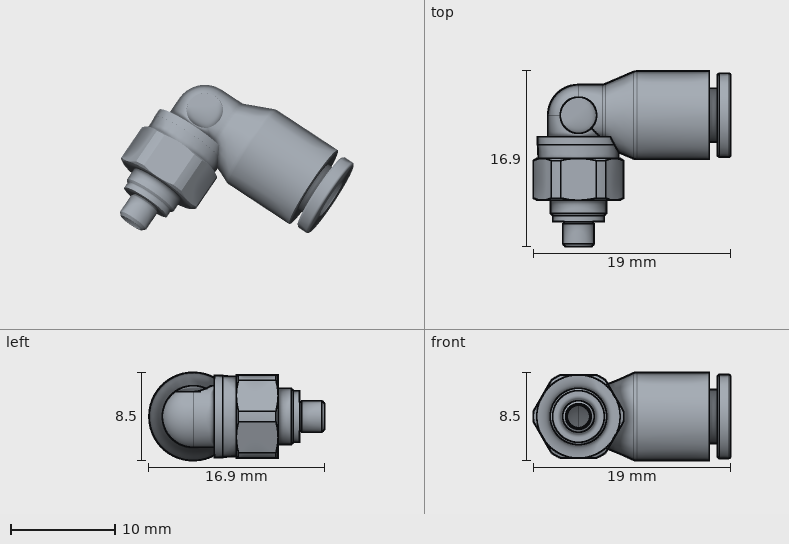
import cadquery as cq
import math


elbow_radius = 2.95
badge_radius = 1.75
badge_height = 2.37

stem_bore_radius = 1.08
tube_bore_radius = 2.0

body_radius = 4.25
cone_start = 2.43
cone_end = 5.43
cone_start_tangent = 0.15
cone_end_tangent = 0.17
body_end = 12.58
release_neck_radius = 2.6
release_ring_radius = 4.05
release_ring_start = 13.32
release_ring_inner_chamfer = 0.19
release_ring_outer_fillet = 0.2

hex_across_flats = 8.0
hex_across_corners = 8.7
hex_chamfer_angle = 30.0

collar_start = 2.05
collar_radius = 3.95
collar_end = 2.85
skirt_top_radius = 3.93
skirt_bottom_radius = 3.87
hex_start = 4.15
hex_end = 8.15
seat_radius = 2.71
seat_chamfer = 0.23
seat_end = 9.64
seal_radius = seat_radius - seat_chamfer
seal_end = 10.22
undercut_radius = 1.4
undercut_end = 10.41
thread_radius = 1.52
thread_chamfer = 0.28
stem_length = 12.65

overall_length = 18.97
branch_length = overall_length - hex_across_corners / 2


def tube_branch():
    """Neck, flared cone with blended ends, and cylindrical body, revolved about X."""
    flare = math.atan2(body_radius - elbow_radius, cone_end - cone_start)
    run = math.cos(flare)
    rise = math.sin(flare)
    profile = (
        cq.Workplane("XY")
        .lineTo(0, elbow_radius)
        .lineTo(cone_start - cone_start_tangent, elbow_radius)
        .tangentArcPoint(
            (cone_start + cone_start_tangent * run, elbow_radius + cone_start_tangent * rise),
            relative=False,
        )
        .lineTo(cone_end - cone_end_tangent * run, body_radius - cone_end_tangent * rise)
        .tangentArcPoint((cone_end + cone_end_tangent, body_radius), relative=False)
        .lineTo(body_end, body_radius)
        .lineTo(body_end, 0)
        .close()
    )
    return profile.revolve(360, (0, 0, 0), (1, 0, 0))


def release_sleeve():
    """Narrow neck and wide push ring at the open end of the tube branch."""
    neck = (
        cq.Workplane("YZ", origin=(body_end, 0, 0))
        .circle(release_neck_radius)
        .extrude(release_ring_start - body_end)
    )
    ring = (
        cq.Workplane("YZ", origin=(release_ring_start, 0, 0))
        .circle(release_ring_radius)
        .extrude(branch_length - release_ring_start)
        .faces("<X").edges().chamfer(release_ring_inner_chamfer)
        .faces(">X").edges().fillet(release_ring_outer_fillet)
    )
    return neck.union(ring)


def stem():
    """Stepped turned stem, from the elbow to the tip of the thread, revolved about Y."""
    outline = [
        (0, 0),
        (elbow_radius, 0),
        (elbow_radius, collar_start),
        (collar_radius, collar_start),
        (collar_radius, collar_end),
        (skirt_top_radius, collar_end),
        (skirt_bottom_radius, hex_start),
        (seat_radius, hex_start),
        (seat_radius, seat_end - seat_chamfer),
        (seal_radius, seat_end),
        (seal_radius, seal_end),
        (undercut_radius, seal_end),
        (undercut_radius, undercut_end),
        (thread_radius, undercut_end),
        (thread_radius, stem_length - thread_chamfer),
        (thread_radius - thread_chamfer, stem_length),
        (0, stem_length),
    ]
    points = [(radius, -station) for radius, station in outline]
    return cq.Workplane("XY").polyline(points).close().revolve(360, (0, 0, 0), (0, 1, 0))


def hexagon():
    """Hexagon with corners on X, trimmed by a turned blank with chamfered ends."""
    height = hex_end - hex_start
    corner_radius = hex_across_corners / 2
    chamfer_width = corner_radius - hex_across_flats / 2
    chamfer_height = chamfer_width * math.tan(math.radians(hex_chamfer_angle))
    base = cq.Workplane("XZ", origin=(0, -hex_start, 0))
    prism = base.polygon(6, hex_across_flats / math.cos(math.pi / 6)).extrude(height)
    blank = (
        base.circle(corner_radius)
        .extrude(height)
        .faces("<Y or >Y").edges().chamfer(chamfer_height, chamfer_width)
    )
    return prism.intersect(blank)


def flow_passage():
    """Narrow bore through the stem, meeting a wider tube bore with a spherical end."""
    stem_bore = cq.Workplane("XZ").circle(stem_bore_radius).extrude(stem_length)
    tube_bore = cq.Workplane("YZ").circle(tube_bore_radius).extrude(branch_length)
    tube_bore_end = cq.Workplane("XY").sphere(tube_bore_radius)
    return stem_bore.union(tube_bore).union(tube_bore_end)


def badge_recess():
    """Flat-bottomed round recess on top of the elbow."""
    return (
        cq.Workplane("XY", origin=(0, 0, badge_height))
        .circle(badge_radius)
        .extrude(elbow_radius - badge_height)
    )


fitting = (
    cq.Workplane("XY")
    .sphere(elbow_radius)
    .union(tube_branch())
    .union(stem())
    .cut(badge_recess())
    .union(release_sleeve())
    .union(hexagon())
)
result = fitting.cut(flow_passage())